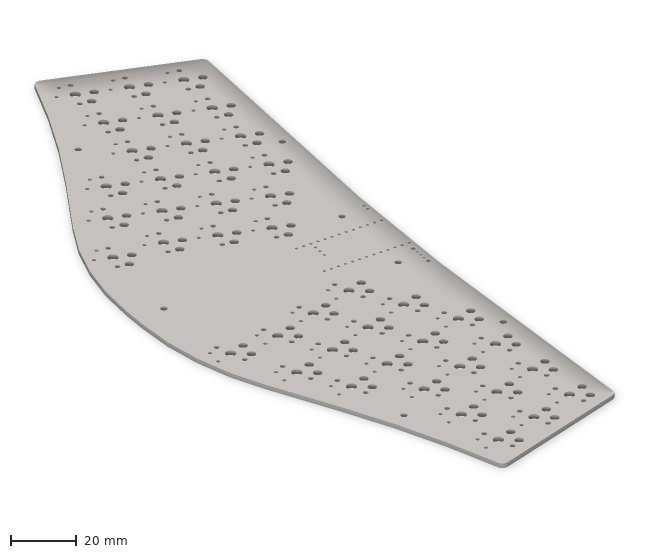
import cadquery as cq
import math

board_width = 263.5
board_depth = 99.3
board_thickness = 1.6
corner_radius = 2.0
tilt = 18.0
side_corner_y = -1.5
top_corner_x = 115.5
corner_overshoot = 0.08
top_corner_y = board_depth / 2 + corner_overshoot
top_flat_half_width = 22.7
top_flat_y = 45.5

bottom_y = -board_depth / 2
bottom_flat_half_width = 4.5
bulge_end = (54.3, -37.1)
hollow_start = (77.7, -24.8)

column_count = 6
column_pitch = 108.0 / column_count
row_pitch = 34.0 / 2
column_stagger = 4.2
column_lift = [0, 1, 2, 3, 2, 1]
column_rows = [3, 3, 3, 4, 4, 4]
thumb_shift = 4.5
first_key = (-108.5, 37.5)

stem_diameter = 3.5
peg_diameter = 1.7
peg_spacing = 11.0
socket_diameter = 3.0
pin_diameter = 1.26
contact_spans = [(0, 11.9), (10.0, 7.6)]

header_pin_count = 13
header_pitch = 30.5 / (header_pin_count - 1)
header_row_spacing = 15.5
header_pin_diameter = 1.0
header_center_x = 0.3
header_top_y = 44.0
inner_pin_row = 10
inner_pin_count = 3

battery_center = (-16.3, 44.0)
battery_pitch = 2.0
battery_pin_diameter = 1.0
switch_center = (15.8, 43.2)
switch_peg_spacing = 8.5
switch_peg_diameter = 1.4
switch_pin_pitch = 1.98
switch_pin_diameter = 0.8

mount_diameter = 2.2
mount_pairs = [(62.2, 43.2), (15.8, 35.0), (91.7, -11.3)]
center_mount = (0.3, -39.3)


def rotated(point, degrees):
    """Turn a point about the origin, anticlockwise."""
    x, y = point
    angle = math.radians(degrees)
    return (
        x * math.cos(angle) - y * math.sin(angle),
        x * math.sin(angle) + y * math.cos(angle),
    )


def make_board():
    """Right half of the blank, mirrored and joined along X = 0."""
    lean = math.radians(tilt)
    corner_trim = corner_radius * (math.sin(lean) + math.cos(lean) - 1)
    side_corner = (board_width / 2 + corner_trim, side_corner_y)
    half = (
        cq.Workplane("XY")
        .moveTo(0, bottom_y)
        .lineTo(bottom_flat_half_width, bottom_y)
        .tangentArcPoint(bulge_end, relative=False)
        .lineTo(*hollow_start)
        .tangentArcPoint(side_corner, relative=False)
        .lineTo(top_corner_x, top_corner_y)
        .lineTo(top_flat_half_width, top_flat_y)
        .lineTo(0, top_flat_y)
        .close()
        .extrude(board_thickness)
    )
    for corner in (side_corner, (top_corner_x, top_corner_y)):
        nearest = cq.selectors.NearestToPointSelector((*corner, board_thickness / 2))
        half = half.edges("|Z").edges(nearest).fillet(corner_radius)
    return half.union(half.mirror("YZ")).clean()


def key_centers():
    """Key centres on the left half."""
    centers = []
    for column in range(column_count):
        for row in range(column_rows[column]):
            x = column * column_pitch
            y = column_lift[column] * column_stagger - row * row_pitch
            if column == column_count - 1 and row == column_rows[column] - 1:
                x += thumb_shift
            dx, dy = rotated((x, y), -tilt)
            centers.append((first_key[0] + dx, first_key[1] + dy))
    return centers


def key_holes():
    """(X, Y, diameter) of every hole of one upright key."""
    holes = [(0, 0, stem_diameter)]
    for side in (-1, 1):
        holes.append((side * peg_spacing / 2, 0, peg_diameter))
    for span_x, span_y in contact_spans:
        holes.append((span_x / 2, span_y / 2, socket_diameter))
        holes.append((-span_x / 2, -span_y / 2, pin_diameter))
    return holes


def key_field_holes():
    """Both halves: positions are mirrored, but the keys themselves are only turned."""
    holes = []
    for center_x, center_y in key_centers():
        for side in (-1, 1):
            for x, y, diameter in key_holes():
                dx, dy = rotated((x, y), side * tilt)
                holes.append((-side * center_x + dx, center_y + dy, diameter))
    return holes


def header_holes():
    """Two pin rows, plus a short run of pins inwards from the left row."""
    left_x = header_center_x - header_row_spacing / 2
    holes = []
    for index in range(header_pin_count):
        y = header_top_y - index * header_pitch
        holes.append((left_x, y, header_pin_diameter))
        holes.append((left_x + header_row_spacing, y, header_pin_diameter))
    inner_y = header_top_y - inner_pin_row * header_pitch
    for index in range(1, inner_pin_count + 1):
        holes.append((left_x + index * header_pitch, inner_y, header_pin_diameter))
    return holes


def power_holes():
    """Two battery pins; three switch pins between two locating pegs."""
    battery_x, battery_y = battery_center
    switch_x, switch_y = switch_center
    holes = [(switch_x, switch_y, switch_pin_diameter)]
    for side in (-1, 1):
        holes.append((battery_x + side * battery_pitch / 2, battery_y, battery_pin_diameter))
        holes.append((switch_x + side * switch_pin_pitch, switch_y, switch_pin_diameter))
        holes.append((switch_x + side * switch_peg_spacing / 2, switch_y, switch_peg_diameter))
    return holes


def mount_holes():
    holes = [(*center_mount, mount_diameter)]
    for x, y in mount_pairs:
        holes.append((x, y, mount_diameter))
        holes.append((-x, y, mount_diameter))
    return holes


def drill(board, holes):
    """Drill all holes right through, one cut per diameter."""
    for size in sorted({diameter for _, _, diameter in holes}):
        points = [(x, y) for x, y, diameter in holes if diameter == size]
        drills = cq.Workplane("XY").pushPoints(points).circle(size / 2).extrude(board_thickness)
        board = board.cut(drills)
    return board


result = drill(make_board(), key_field_holes() + header_holes() + power_holes() + mount_holes())